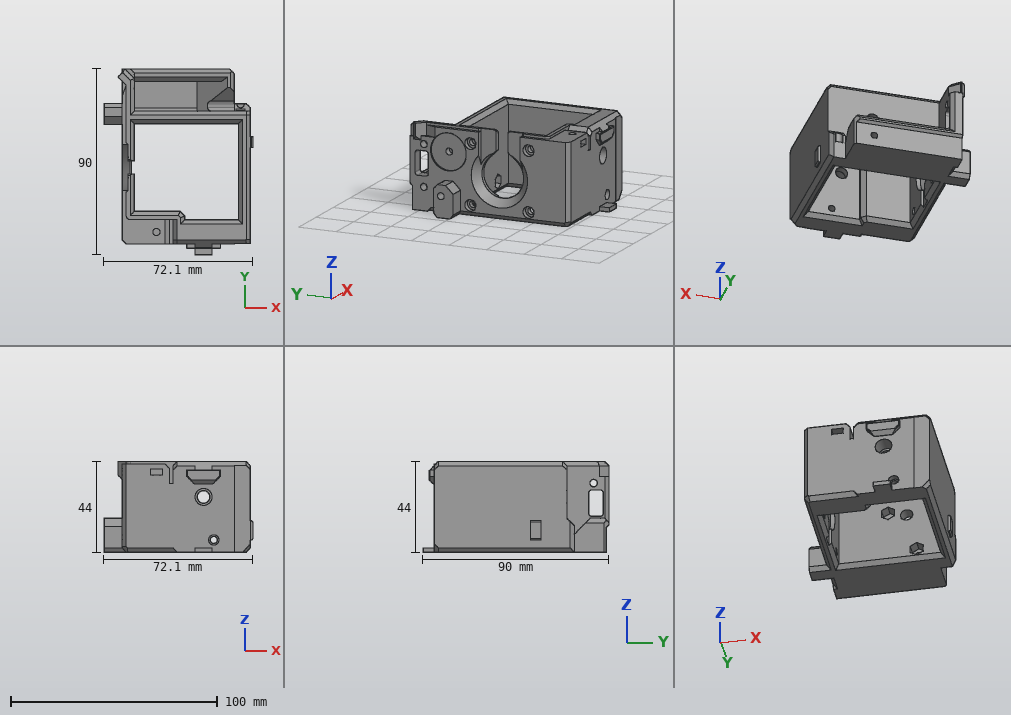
import cadquery as cq
import math

TOTAL_X = 72.12
TOTAL_Y = 90.0
WIDTH = 62.15
HEIGHT = 44.0
BACK_Y = 84.8
REAR_WIDTH = 54.4
SHELF_Y = 68.0
WALL = 6.0
EDGE = 2.0
EDGE_Z = 2.2
MARGIN = 1.0

WINDOW_RIGHT = 56.25
WINDOW_BACK = 58.2
FRONT_THICK = 15.9
FRONT_THIN = 11.8
STEP_X = 28.1
STEP_CHAMFER = 2.3

DIVIDER_BACK = 64.4

TRAY_RIM = 16.5
TRAY_RIGHT = 51.0
TRAY_BACK = 78.8
TRAY_FLOOR = 4.8
RAMP_START_X = 36.25
TRAY_LEDGE = 1.5

LEDGE_Z = 42.75
RIM_OFFSET = EDGE
RIM_RADIUS = 2.0
LEDGE_END_Y = 76.9
SLIT_LEFT = 22.9
SLIT_RIGHT = 24.6
SLIT_BOTTOM = 33.4

LUG_TIP_X = -2.0
LUG_RUN = EDGE - LUG_TIP_X
LUG_WIDTH = 2.2

MOTOR_Y = 37.1
MOTOR_Z = 21.0
MOTOR_PITCH = 31.0
MOTOR_SCREW = 3.5
MOTOR_SCREW_HEAD = 5.8
MOTOR_HEAD_DEPTH = 3.0
MOTOR_RADIUS = 11.1
MOTOR_CONE_RADIUS = 15.0
MOTOR_RECESS = 2.9
KEY_WIDTH = 6.3

BOSS_LENGTH = 8.72
BOSS_TOP = 16.6
AXIS_Y = 64.3
BLIND_HOLE_END = 5.0

TONGUE_LENGTH = TOTAL_Y - BACK_Y
PAD_HEIGHT = TOTAL_X - BOSS_LENGTH - WIDTH
TONGUE_HALF_WIDTH = 4.15
CATCH_X = 39.45


def block(x0, x1, y0, y1, z0, z1):
    return cq.Workplane("XY").box(x1 - x0, y1 - y0, z1 - z0, centered=False).translate((x0, y0, z0))


def plan_prism(points, z0, z1):
    """Prism over an outline given in X, Y."""
    return cq.Workplane("XY").workplane(offset=z0).polyline(points).close().extrude(z1 - z0)


def side_prism(points, x0, x1):
    """Prism along X over an outline given in Y, Z."""
    return cq.Workplane("YZ").workplane(offset=x0).polyline(points).close().extrude(x1 - x0)


def front_prism(points, y0, y1):
    """Prism along Y over an outline given in X, Z."""
    return cq.Workplane("XZ").workplane(offset=-y0).polyline(points).close().extrude(y0 - y1)


def bore_x(diameter, y, z, x0, x1):
    return cq.Workplane("YZ").workplane(offset=x0).center(y, z).circle(diameter / 2).extrude(x1 - x0)


def bore_y(diameter, x, z, y0, y1):
    return cq.Workplane("XZ").workplane(offset=-y0).center(x, z).circle(diameter / 2).extrude(y0 - y1)


def edge_profile(face, inward, z_face, z_inward):
    """Triangle that chamfers an edge: `face` is the side plane, `z_face` the end plane."""
    return [(face, z_face), (face + inward, z_face), (face, z_face + z_inward)]


def outer_body():
    """Main box, left wall, rear block and shelf before the openings are cut."""
    front = block(0, WIDTH, 0, DIVIDER_BACK, 0, HEIGHT)
    front = front.cut(plan_prism([(0, 0), (EDGE, 0), (0, EDGE)], 0, HEIGHT))
    divider_edge = edge_profile(DIVIDER_BACK, -EDGE, HEIGHT, -EDGE_Z)
    front = front.cut(side_prism(divider_edge, WALL - EDGE, WIDTH))

    band_inset = 1.3
    band_z = 12.0
    back_face = [
        (0, 0), (BACK_Y - band_inset, 0), (BACK_Y - band_inset, band_z), (BACK_Y, band_z + band_inset),
    ]
    left_wall = side_prism(back_face + [(BACK_Y, HEIGHT), (0, HEIGHT)], 0, WALL)
    left_wall = left_wall.intersect(block(0, WALL, WALL, BACK_Y, 0, HEIGHT))
    left_wall = left_wall.cut(plan_prism([
        (WALL, BACK_Y), (WALL - EDGE, BACK_Y), (WALL, BACK_Y - EDGE),
    ], 0, HEIGHT))
    rear = side_prism(back_face + [
        (BACK_Y, TRAY_RIM - EDGE_Z), (BACK_Y - EDGE, TRAY_RIM), (0, TRAY_RIM),
    ], 0, REAR_WIDTH)
    rear = rear.intersect(block(0, REAR_WIDTH, WINDOW_BACK, BACK_Y, 0, HEIGHT))
    rear = rear.cut(front_prism(
        edge_profile(REAR_WIDTH, -EDGE, TRAY_RIM, -EDGE_Z), DIVIDER_BACK, BACK_Y,
    ))
    corner = 2.4
    rear = rear.cut(plan_prism([
        (REAR_WIDTH, BACK_Y), (REAR_WIDTH - corner, BACK_Y), (REAR_WIDTH, BACK_Y - corner),
    ], 0, TRAY_RIM))
    return front.union(left_wall).union(rear).union(shelf())


def shelf():
    """Ledge with a sloping top on the right of the rear block, with a screw pocket and a nut slot."""
    slope_top = TRAY_RIM
    slope_bottom = slope_top - (SHELF_Y - DIVIDER_BACK)
    pocket_x = 57.4
    pocket_radius = 1.75
    pocket_y = 67.7
    pocket_depth = 4.0
    body = side_prism([
        (DIVIDER_BACK - MARGIN, 0), (SHELF_Y, 0), (SHELF_Y, slope_bottom),
        (DIVIDER_BACK, slope_top), (DIVIDER_BACK - MARGIN, slope_top),
    ], REAR_WIDTH - MARGIN, WIDTH)
    body = body.cut(plan_prism([
        (WIDTH, SHELF_Y), (WIDTH - EDGE, SHELF_Y), (WIDTH, SHELF_Y - EDGE),
    ], 0, HEIGHT))
    pocket = (
        cq.Workplane("XY").workplane(offset=slope_bottom - pocket_depth)
        .center(pocket_x, pocket_y).circle(pocket_radius).extrude(HEIGHT)
    )
    pocket = pocket.union(block(
        pocket_x - pocket_radius, pocket_x + pocket_radius, pocket_y, SHELF_Y + MARGIN,
        slope_bottom - pocket_depth, HEIGHT,
    ))
    nut_half_width = 2.2
    nut_thickness = 0.7
    nut_offset = 0.3
    nut_front = DIVIDER_BACK + nut_offset
    nut_back = nut_front + nut_thickness
    nut_slot_cut = block(
        pocket_x - nut_half_width, pocket_x + nut_half_width, nut_front, nut_back,
        slope_bottom - pocket_depth, HEIGHT,
    )
    return body.cut(pocket).cut(nut_slot_cut)


def outer_edges():
    """Chamfers along the outer top and bottom edges of the main box."""
    bottom_left_end = 75.5
    bottom_front_end = 26.6
    cuts = front_prism(edge_profile(WIDTH, -EDGE, HEIGHT, -EDGE_Z), -MARGIN, SHELF_Y)
    cuts = cuts.union(front_prism(edge_profile(WIDTH, -EDGE, 0, EDGE_Z), -MARGIN, SHELF_Y))
    cuts = cuts.union(side_prism(edge_profile(0, EDGE, HEIGHT, -EDGE_Z), SLIT_RIGHT, WIDTH))

    left = front_prism(edge_profile(0, EDGE, 0, EDGE_Z), 0, bottom_left_end)
    left = left.cut(side_prism([
        (bottom_left_end, 0), (bottom_left_end, EDGE_Z), (bottom_left_end - EDGE, EDGE_Z),
    ], 0, EDGE))
    front = side_prism(edge_profile(0, EDGE, 0, EDGE_Z), 0, bottom_front_end)
    front = front.cut(front_prism([
        (bottom_front_end, 0), (bottom_front_end, EDGE_Z), (bottom_front_end - EDGE, EDGE_Z),
    ], 0, EDGE))
    corner_rise = 2.7
    across = cq.Plane(origin=(EDGE / 2, EDGE / 2, 0), xDir=(1, 1, 0), normal=(1, -1, 0))
    corner = cq.Workplane(across).polyline([(0, 0), (EDGE, 0), (0, corner_rise)]).close()
    return cuts.union(left).union(front).union(corner.extrude(2 * EDGE, both=True))


def corner_bevel(origin, direction, depth_y, inward):
    """Bevel between a front or back face and an edge chamfer that runs along `direction`."""
    run = cq.Plane(origin=origin, xDir=(0, 1, 0), normal=direction)
    section = cq.Workplane(run).polyline([(0, 0), (depth_y, 0), (0, inward)]).close()
    return section.extrude(2 * EDGE, both=True)


def corner_bevels():
    """Shallow recess at the right end of the front face, and the bevels at the box corners."""
    depth = 0.25
    right_inward = 1.3
    slit_inward = 1.5
    cuts = block(REAR_WIDTH, WIDTH + MARGIN, -MARGIN, depth, -MARGIN, HEIGHT + MARGIN)
    right_x = WIDTH - EDGE
    cuts = cuts.union(corner_bevel((right_x, depth, HEIGHT), (EDGE, 0, -EDGE_Z), EDGE, -right_inward))
    cuts = cuts.union(corner_bevel((right_x, depth, 0), (EDGE, 0, EDGE_Z), EDGE, right_inward))
    cuts = cuts.union(corner_bevel((right_x, DIVIDER_BACK, HEIGHT), (EDGE, 0, -EDGE_Z), -EDGE, -right_inward))
    slit_bevel = corner_bevel((SLIT_RIGHT + EDGE, 0, HEIGHT), (EDGE, 0, EDGE_Z), EDGE, -slit_inward)
    return cuts.union(slit_bevel.intersect(block(SLIT_RIGHT, SLIT_RIGHT + EDGE, 0, EDGE, 0, HEIGHT)))


def window_outline(grow):
    """Window outline in X, Y; `grow` offsets every side outward."""
    step_right = STEP_X + STEP_CHAMFER - grow
    return [
        (WALL - grow, WINDOW_BACK + grow), (WINDOW_RIGHT + grow, WINDOW_BACK + grow),
        (WINDOW_RIGHT + grow, FRONT_THIN - grow), (step_right, FRONT_THIN - grow),
        (step_right, FRONT_THICK - STEP_CHAMFER - grow * (math.sqrt(2) - 1)),
        (STEP_X - grow * (math.sqrt(2) - 1), FRONT_THICK - grow),
        (WALL - grow, FRONT_THICK - grow),
    ]


def window():
    """Opening through the box, flared at the top and at the bottom."""
    through = plan_prism(window_outline(0), -MARGIN, HEIGHT + MARGIN)
    for narrow_z, rise in ((HEIGHT - EDGE_Z, EDGE_Z), (EDGE_Z, -EDGE_Z)):
        flare = (
            cq.Workplane("XY").workplane(offset=narrow_z).polyline(window_outline(0)).close()
            .workplane(offset=rise).polyline(window_outline(EDGE)).close().loft(ruled=True)
        )
        through = through.union(flare)
    return through


def tray():
    """Tray in the rear block: flat floor, ramp up to the right rim, flared back."""
    ramp = [(RAMP_START_X, TRAY_FLOOR), (TRAY_RIGHT, TRAY_RIM)]
    cavity = front_prism(
        [(WALL, TRAY_FLOOR)] + ramp + [(WALL, TRAY_RIM)], DIVIDER_BACK, TRAY_BACK,
    )
    ledge = side_prism([
        (DIVIDER_BACK, TRAY_FLOOR), (DIVIDER_BACK + TRAY_LEDGE, TRAY_FLOOR),
        (DIVIDER_BACK + TRAY_LEDGE, TRAY_FLOOR + TRAY_LEDGE), (DIVIDER_BACK, TRAY_FLOOR + 2 * TRAY_LEDGE),
    ], WALL, RAMP_START_X)
    back_flare = side_prism([
        (TRAY_BACK, TRAY_RIM), (TRAY_BACK + EDGE, TRAY_RIM), (TRAY_BACK, TRAY_RIM - EDGE_Z),
    ], WALL, TRAY_RIGHT)
    back_flare = back_flare.cut(front_prism(
        ramp + [(TRAY_RIGHT, TRAY_FLOOR)], TRAY_BACK, TRAY_BACK + EDGE,
    ))
    return cavity.cut(ledge).union(back_flare)


def wall_top_flare():
    """Chamfer along the inner top edge of the left wall, from the divider to the lug."""
    wall_end = LEDGE_END_Y + LUG_WIDTH + EDGE
    flare = front_prism([
        (WALL, HEIGHT), (WALL - EDGE, HEIGHT), (WALL, HEIGHT - EDGE_Z),
    ], DIVIDER_BACK - EDGE, wall_end)
    divider_edge = edge_profile(DIVIDER_BACK, -EDGE, HEIGHT, -EDGE_Z)
    mitre = flare.intersect(side_prism(divider_edge, 0, WALL))
    beyond = flare.intersect(block(0, WALL, DIVIDER_BACK, wall_end, 0, HEIGHT))
    return mitre.union(beyond)


def cable_channel():
    """Rounded trough leading out of the tray to the right, with a sloping far side."""
    channel_start = 40.0
    channel_depth = 7.6
    slope_drop = 6.4
    channel_floor = TRAY_RIM - channel_depth
    channel_back = 69.3
    channel_radius = 1.6
    slope_foot = TRAY_RIM - slope_drop
    slope_back = channel_back + slope_drop
    trough = block(
        channel_start, REAR_WIDTH, DIVIDER_BACK, channel_back, channel_floor, TRAY_RIM,
    ).edges("|X and <Z").fillet(channel_radius)
    slope = side_prism([
        (DIVIDER_BACK, slope_foot), (channel_back, slope_foot), (slope_back, TRAY_RIM),
        (DIVIDER_BACK, TRAY_RIM),
    ], channel_start, REAR_WIDTH)
    return trough.union(slope)


def cable_slot():
    """Rounded slot and two screw holes near the back of the left wall."""
    slot_y = 78.5
    slot_z = 23.8
    slot_width = 7.0
    slot_height = 12.6
    slot_radius = 1.4
    hole = 3.5
    hole_y = 77.35
    upper_z = 33.5
    lower_z = 12.0
    slot = (
        cq.Workplane("YZ").center(slot_y, slot_z).rect(slot_width, slot_height).extrude(WALL)
        .edges("|X").fillet(slot_radius)
    )
    slot = slot.union(bore_x(hole, hole_y, upper_z, 0, WALL))
    return slot.union(bore_x(hole, hole_y, lower_z, 0, WALL))


def round_recess():
    """Shallow round recess in the left wall with a blind screw hole."""
    diameter = 19.0
    depth = 1.0
    centre_z = 31.0
    hole = 3.5
    recess = bore_x(diameter, AXIS_Y, centre_z, 0, depth)
    return recess.union(bore_x(hole, AXIS_Y, centre_z, 0, BLIND_HOLE_END))


def ledge_cut():
    """Lowers the left and front margins so that a raised rim remains."""
    top = HEIGHT + MARGIN
    margin = block(-MARGIN, SLIT_RIGHT, -MARGIN, LEDGE_END_Y, LEDGE_Z, top)
    keep = block(RIM_OFFSET, SLIT_RIGHT, FRONT_THIN, LEDGE_END_Y, LEDGE_Z, top)
    keep = keep.edges("|Z and <X and <Y").fillet(RIM_RADIUS)
    return margin.cut(keep)


def slit():
    """Vertical slit in the front wall with a bevelled mouth on both sides."""
    return front_prism([
        (SLIT_LEFT, SLIT_BOTTOM), (SLIT_RIGHT, SLIT_BOTTOM), (SLIT_RIGHT, HEIGHT - EDGE_Z),
        (SLIT_RIGHT + EDGE, HEIGHT), (SLIT_LEFT - EDGE, HEIGHT), (SLIT_LEFT - EDGE, LEDGE_Z),
        (SLIT_LEFT, LEDGE_Z - EDGE_Z),
    ], -MARGIN, FRONT_THIN)


def lug():
    """Diagonal lug at the rear left corner, sloped underneath."""
    tip_bottom = 37.4
    root_bottom = tip_bottom + LUG_TIP_X
    tip_y = LEDGE_END_Y + LUG_RUN
    plan = plan_prism([
        (EDGE, LEDGE_END_Y), (LUG_TIP_X, tip_y), (LUG_TIP_X + LUG_WIDTH, tip_y + LUG_WIDTH),
        (EDGE + LUG_WIDTH, LEDGE_END_Y + LUG_WIDTH),
    ], 0, HEIGHT)
    side = front_prism([
        (LUG_TIP_X, HEIGHT), (LUG_TIP_X, tip_bottom), (0, root_bottom), (WALL, root_bottom), (WALL, HEIGHT),
    ], 0, BACK_Y)
    return plan.intersect(side)


def lug_clearance():
    """Recess in front of the lug, small flat behind it, and the wall trimmed along its inner side."""
    recess_z = 37.5
    flat_z = 36.8
    recess_start = 71.5
    flat_x0 = 0.5
    flat_x1 = 1.1
    flat_overlap = 0.3
    flat_y = LEDGE_END_Y + LUG_RUN + LUG_WIDTH - flat_overlap
    cuts = plan_prism([
        (0, recess_start), (EDGE, LEDGE_END_Y), (0, LEDGE_END_Y + EDGE),
    ], recess_z, HEIGHT)
    cuts = cuts.union(plan_prism([
        (0, flat_y), (flat_x0, flat_y), (flat_x1, BACK_Y), (0, BACK_Y),
    ], flat_z, HEIGHT))

    lug_edge = (EDGE + LUG_WIDTH, LEDGE_END_Y + LUG_WIDTH, HEIGHT)
    across = cq.Plane(origin=lug_edge, xDir=(1, 1, 0), normal=(1, -1, 0))
    wall_drop = HEIGHT - flat_z
    section = [(0, 0), (EDGE, -EDGE_Z), (EDGE, -wall_drop), (WALL, -wall_drop), (WALL, 0)]
    behind = cq.Workplane(across).polyline(section).close().extrude(BACK_Y / 2, both=True)
    corner = block(-WALL, WALL, LEDGE_END_Y + LUG_WIDTH, BACK_Y, 0, HEIGHT)
    return cuts.union(behind.intersect(corner))


def motor_opening():
    """Conical mouth and keyhole in the left wall, a relief inside it, and four counterbored screws."""
    inner_lip_x = 4.6
    cone_depth = MOTOR_CONE_RADIUS - MOTOR_RADIUS
    mouth_bevel = 0.7
    rim_bevel = MOTOR_RECESS - RIM_OFFSET
    half_key = KEY_WIDTH / 2
    top = HEIGHT + MARGIN
    centre = cq.Plane(origin=(0, MOTOR_Y, MOTOR_Z), xDir=(0, 1, 0), normal=(1, 0, 0))

    cone = (
        cq.Workplane(centre).circle(MOTOR_CONE_RADIUS).workplane(offset=cone_depth)
        .circle(MOTOR_RADIUS).loft()
    )
    slot = block(0, MOTOR_RECESS, MOTOR_Y - MOTOR_RADIUS, MOTOR_Y + MOTOR_RADIUS, MOTOR_Z, top)
    bore = cq.Workplane(centre).circle(MOTOR_RADIUS).extrude(WALL)
    relief = block(inner_lip_x, WALL, MOTOR_Y - half_key, MOTOR_Y + half_key, -MARGIN, MOTOR_Z)

    tangent = MOTOR_RADIUS / math.sqrt(2)
    throat_z = MOTOR_Z + 2 * tangent - half_key
    right_side = [
        (half_key + mouth_bevel, top), (half_key + mouth_bevel, HEIGHT), (half_key, HEIGHT - mouth_bevel),
        (half_key, throat_z), (tangent, MOTOR_Z + tangent),
    ]
    right_side = [(MOTOR_Y + dy, z) for dy, z in right_side]
    left_side = [(2 * MOTOR_Y - y, z) for y, z in reversed(right_side)]
    key = side_prism(right_side + left_side, 0, WALL)

    cuts = cone.union(slot).union(bore).union(relief).union(key)
    for side in (-1, 1):
        slot_edge = MOTOR_Y + side * MOTOR_RADIUS
        cuts = cuts.union(plan_prism([
            (RIM_OFFSET, slot_edge), (MOTOR_RECESS, slot_edge), (RIM_OFFSET, slot_edge + side * rim_bevel),
        ], LEDGE_Z, top))
        for level in (-1, 1):
            screw_y = MOTOR_Y + side * MOTOR_PITCH / 2
            screw_z = MOTOR_Z + level * MOTOR_PITCH / 2
            cuts = cuts.union(bore_x(MOTOR_SCREW, screw_y, screw_z, 0, WALL))
            cuts = cuts.union(bore_x(MOTOR_SCREW_HEAD, screw_y, screw_z, 0, MOTOR_HEAD_DEPTH))
    return cuts


def boss():
    """Eight-sided boss standing on the left wall."""
    back = 68.1
    front = 57.8
    back_chamfer = 2.0
    front_chamfer = 4.0
    foot = 1.7
    return side_prism([
        (back - foot, 0), (back, EDGE_Z), (back, BOSS_TOP - back_chamfer), (back - back_chamfer, BOSS_TOP),
        (front + front_chamfer, BOSS_TOP), (front, BOSS_TOP - front_chamfer), (front, EDGE_Z),
        (front + foot, 0),
    ], -BOSS_LENGTH, EDGE)


def boss_hole():
    diameter = 3.5
    centre_z = 11.0
    return bore_x(diameter, AXIS_Y, centre_z, -BOSS_LENGTH, BLIND_HOLE_END)


def tongue():
    return block(
        CATCH_X - TONGUE_HALF_WIDTH, CATCH_X + TONGUE_HALF_WIDTH, -TONGUE_LENGTH, MARGIN, 0, EDGE_Z,
    )


def catch():
    """Hook plate on the front wall with a sloping web above it."""
    reach = 2.25
    half_width = 8.2
    top = 39.9
    corner_z = 36.8
    bottom = 33.0
    side_bevel = 0.4
    bottom_bevel = 2.0
    half_foot = half_width - (corner_z - bottom)
    plate = front_prism([
        (CATCH_X - half_width, top), (CATCH_X + half_width, top), (CATCH_X + half_width, corner_z),
        (CATCH_X + half_foot, bottom), (CATCH_X - half_foot, bottom), (CATCH_X - half_width, corner_z),
    ], -reach, MARGIN)
    plate = plate.cut(side_prism([
        (-reach, bottom + bottom_bevel), (-reach, bottom), (-reach + bottom_bevel, bottom),
    ], CATCH_X - half_width, CATCH_X + half_width))
    plate = plate.faces("<Y").edges("not <Z").chamfer(side_bevel)
    web = side_prism([
        (EDGE, HEIGHT), (-reach, HEIGHT - EDGE_Z / EDGE * (reach + EDGE)), (-reach, top - MARGIN),
        (EDGE, top - MARGIN),
    ], CATCH_X - TONGUE_HALF_WIDTH, CATCH_X + TONGUE_HALF_WIDTH)
    return plate.union(web)


def side_pad():
    """Raised pad on the right wall with bevelled ends."""
    y0, y1 = 46.7, 52.0
    z0, z1 = 5.9, 15.3
    bevel = 0.7
    outer = WIDTH + PAD_HEIGHT
    return front_prism([
        (WIDTH - MARGIN, z0), (outer - bevel, z0), (outer, z0 + bevel), (outer, z1 - bevel),
        (outer - bevel, z1), (WIDTH - MARGIN, z1),
    ], y0, y1)


def hex_trap(x, z, depth):
    """Nut trap in the window side of the divider, one corner pointing up."""
    across_flats = 6.4
    across_corners = across_flats / math.cos(math.pi / 6)
    face = cq.Workplane("XZ").workplane(offset=-WINDOW_BACK).center(x, z)
    return face.transformed(rotate=(0, 0, 90)).polygon(6, across_corners).extrude(-depth)


def front_holes():
    """Rod and screw bores along Y with counterbores in front and nut traps in the divider."""
    rod_z = 26.8
    rod = 6.0
    rod_head = 8.2
    rod_head_depth = 8.0
    screw_x, screw_z = 44.4, 6.0
    screw = 3.3
    screw_head = 5.0
    screw_head_depth = 3.0
    blind_x, blind_z = 30.2, 29.0
    trap_depth = 5.5
    cuts = bore_y(rod, CATCH_X, rod_z, 0, BACK_Y)
    cuts = cuts.union(bore_y(rod_head, CATCH_X, rod_z, 0, rod_head_depth))
    cuts = cuts.union(bore_y(screw, screw_x, screw_z, 0, BACK_Y))
    cuts = cuts.union(bore_y(screw_head, screw_x, screw_z, 0, screw_head_depth))
    cuts = cuts.union(hex_trap(screw_x, screw_z, trap_depth))
    return cuts.union(hex_trap(blind_x, blind_z, trap_depth))


def nut_slot():
    """Nut slot in the front face, crossed by a vertical screw hole."""
    centre_x = 16.65
    half_width = 2.9
    bottom, top = 37.3, 40.3
    depth = 9.0
    hole = 3.5
    hole_y = 5.85
    hole_bottom = 34.0
    slot = block(centre_x - half_width, centre_x + half_width, 0, depth, bottom, top)
    bore = (
        cq.Workplane("XY").workplane(offset=hole_bottom).center(centre_x, hole_y)
        .circle(hole / 2).extrude(HEIGHT - hole_bottom)
    )
    return slot.union(bore)


part = outer_body()
for cut_body in (
    outer_edges(), corner_bevels(), window(), tray(), wall_top_flare(), cable_channel(), ledge_cut(), slit(),
):
    part = part.cut(cut_body)
part = part.union(lug()).cut(lug_clearance())
for added in (boss(), tongue(), catch(), side_pad()):
    part = part.union(added)
for cut_body in (
    motor_opening(), cable_slot(), round_recess(), boss_hole(), front_holes(), nut_slot(),
):
    part = part.cut(cut_body)

result = part